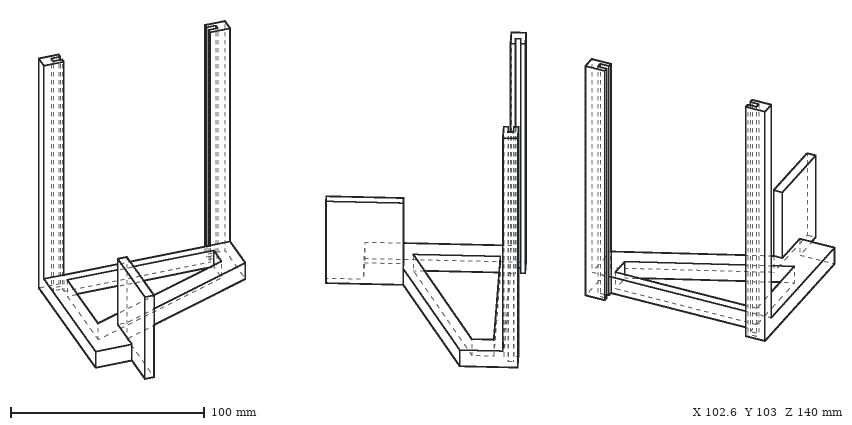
import cadquery as cq

total_length = 102.6
total_width = 103.0
total_height = 140.0

post_thickness = 7.7
post_width = 11.0
slot_width = 2.8
slot_depth = 5.0
rear_post_y = total_width - post_width

frame_height = 10.0
frame_end_x = 83.5
frame_width = total_width
frame_rear_end_x = 30.0
window_start_x = 12.9
window_front_y = 10.9
window_rear_y = 92.0
window_front_end_x = 58.0
window_rear_end_x = 24.2

plate_length = 40.0
plate_thickness = 5.0
plate_height = 50.0
plate_front_y = 20.0
plate_start_x = total_length - plate_length
plate_rear_y = plate_front_y + plate_thickness


def block(x, y, length, width, height):
    """Box standing on the base plane with its low corner at (x, y)."""
    return cq.Workplane("XY").box(length, width, height, centered=False).translate((x, y, 0))


def make_post(y, slot_y):
    """Full-height post with a groove running its whole length."""
    slot_x = (post_thickness - slot_width) / 2
    post = block(0, y, post_thickness, post_width, total_height)
    return post.cut(block(slot_x, slot_y, slot_width, slot_depth, total_height))


def make_frame():
    """Tapered base frame with a four-sided through window."""
    outline = [
        (post_thickness, 0),
        (frame_end_x, 0),
        (frame_end_x, plate_rear_y),
        (plate_start_x, plate_rear_y),
        (frame_rear_end_x, frame_width),
        (post_thickness, frame_width),
    ]
    window = [
        (window_start_x, window_front_y),
        (window_front_end_x, window_front_y),
        (window_rear_end_x, window_rear_y),
        (window_start_x, window_rear_y),
    ]
    frame = cq.Workplane("XY").polyline(outline).close().extrude(frame_height)
    opening = cq.Workplane("XY").polyline(window).close().extrude(frame_height)
    return frame.cut(opening)


front_post = make_post(0, post_width - slot_depth)
rear_post = make_post(rear_post_y, rear_post_y)
plate = block(plate_start_x, plate_front_y, plate_length, plate_thickness, plate_height)

result = make_frame().union(front_post).union(rear_post).union(plate)